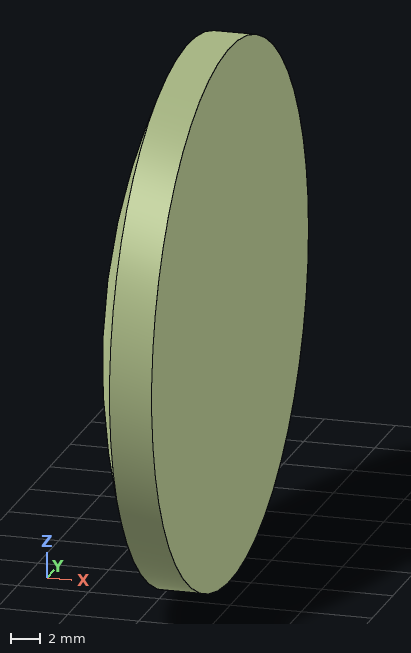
import cadquery as cq

diameter = 38.05
thickness = 7.1
edge_thickness = 2.95

radius = diameter / 2
dome_height = thickness - edge_thickness
sphere_radius = (radius**2 + dome_height**2) / (2 * dome_height)

blank = cq.Workplane("YZ").circle(radius).extrude(thickness)

dome_sphere = cq.Workplane("XY").sphere(sphere_radius).translate((sphere_radius, 0, 0))

result = blank.intersect(dome_sphere)